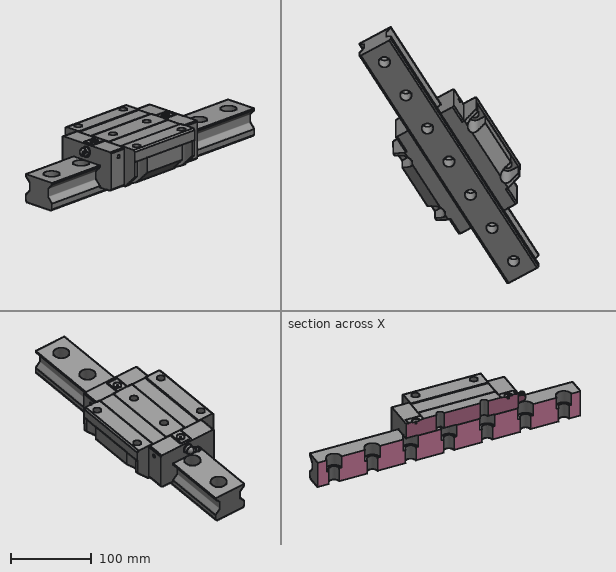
import cadquery as cq

rail_length = 360.0
rail_width = 45.0
rail_height = 37.0
rail_foot_chamfer = 2.0
neck_width = 31.5
neck_fillet = 1.5
shoulder_width = 42.5
groove_mid_z = 22.5
neck_half_height = 5.5
shoulder_half_height = neck_half_height + (shoulder_width - neck_width) / 2
groove_half_height = 12.5
rail_hole_count = 7
rail_end_margin = 22.5
rail_hole_diameter = 14.0
rail_bore_diameter = 20.0
rail_bore_depth = 17.0

carriage_y = -18.0
block_width = 120.0
block_length = 106.2
carriage_top = 60.0
carriage_bottom = 8.0
flange_bottom = 44.5
flange_chamfer = 2.0
flange_overhang = 0.5
block_bottom_width = 85.5
centre_land_width = 29.5
outer_land_gap = 70.5
top_recess_depth = 0.7
top_recess_slope = 1.0

mount_pitch_x = 100.0
mount_pitch_y = 80.0
centre_pitch_y = 60.0
mount_hole_diameter = 10.0
relief_radius = 9.0

cap_width = 83.5
cap_length = 23.8
cap_top = 59.0
cap_top_chamfer = 1.5
cap_bottom_chamfer = 2.0
pad_width = 16.5
pad_slope = 1.0
pad_top = 59.8
pad_end_gap = 3.2
port_offset = 13.5
top_port_diameter = 10.0
top_port_depth = 1.0
top_pilot_diameter = 1.8
top_pilot_depth = 4.5
side_port_diameter = 4.5
side_port_depth = 5.5

nipple_z = 50.0
washer_diameter = 12.2
washer_thickness = 0.7
collar_diameter = 10.8
collar_length = 5.5
ball_radius = 5.0
nozzle_angle = 24.0
nozzle_radius = 3.2
nozzle_neck_radius = 2.5
nozzle_neck_start = 6.5
nozzle_neck_end = 8.0
nozzle_cone_start = 10.5
nozzle_length = 13.5
nozzle_tip_radius = 1.5

cap_end_y = block_length / 2 + cap_length


def mirrored(right_side):
    """Closed XZ outline from its points on the +X side, listed from bottom to top."""
    left_side = [(-x, z) for x, z in reversed(right_side)]
    return right_side + left_side


def extrude_along_y(points, length, centre_y):
    """Extrude an XZ outline along Y, centred on centre_y."""
    start = cq.Workplane("XZ", origin=(0, centre_y, 0))
    return start.polyline(points).close().extrude(length / 2, both=True)


def drill_down(diameter, depth, x, y, top):
    """Vertical cylinder that reaches down from the given height."""
    return cq.Workplane("XY", origin=(x, y, top)).circle(diameter / 2).extrude(-depth)


def rail_bar(length):
    half_width = rail_width / 2
    outline = mirrored([
        (half_width - rail_foot_chamfer, 0),
        (half_width, rail_foot_chamfer),
        (half_width, groove_mid_z - groove_half_height),
        (shoulder_width / 2, groove_mid_z - shoulder_half_height),
        (neck_width / 2, groove_mid_z - neck_half_height),
        (neck_width / 2, groove_mid_z + neck_half_height),
        (shoulder_width / 2, groove_mid_z + shoulder_half_height),
        (half_width, groove_mid_z + groove_half_height),
        (half_width, rail_height),
    ])
    bar = extrude_along_y(outline, length, 0)
    for side in (-1, 1):
        for level in (-1, 1):
            corner = (side * neck_width / 2, 0, groove_mid_z + level * neck_half_height)
            bar = bar.edges(cq.selectors.NearestToPointSelector(corner)).fillet(neck_fillet)
    return bar


def make_rail():
    rail = rail_bar(rail_length)
    first_hole_y = rail_end_margin - rail_length / 2
    hole_pitch = -2 * first_hole_y / (rail_hole_count - 1)
    for i in range(rail_hole_count):
        hole_y = first_hole_y + i * hole_pitch
        rail = rail.cut(drill_down(rail_hole_diameter, rail_height, 0, hole_y, rail_height))
        rail = rail.cut(drill_down(rail_bore_diameter, rail_bore_depth, 0, hole_y, rail_height))
    return rail


def make_block():
    half_width = block_width / 2
    side_x = half_width - flange_overhang
    slope_rise = side_x - block_bottom_width / 2
    recess_z = carriage_top - top_recess_depth
    outline = mirrored([
        (block_bottom_width / 2, carriage_bottom),
        (side_x, carriage_bottom + slope_rise),
        (side_x, flange_bottom),
        (half_width, flange_bottom),
        (half_width, carriage_top - flange_chamfer),
        (half_width - flange_chamfer, carriage_top),
        (outer_land_gap / 2 + top_recess_slope, carriage_top),
        (outer_land_gap / 2, recess_z),
        (centre_land_width / 2, recess_z),
        (centre_land_width / 2, carriage_top),
    ])
    return extrude_along_y(outline, block_length, carriage_y)


def cut_mount_holes(body):
    """Corner holes, each with a U-shaped relief that opens outwards below the flange."""
    relief_height = flange_bottom - carriage_bottom
    for side in (-1, 1):
        hole_x = side * mount_pitch_x / 2
        for end in (-1, 1):
            hole_y = carriage_y + end * mount_pitch_y / 2
            body = body.cut(drill_down(mount_hole_diameter, carriage_top, hole_x, hole_y, carriage_top))
            relief = drill_down(2 * relief_radius, relief_height, hole_x, hole_y, flange_bottom)
            opening = cq.Workplane("XY").box(
                2 * relief_radius, 2 * relief_radius, relief_height, centered=(True, True, False)
            )
            opening = opening.translate((hole_x + side * relief_radius, hole_y, carriage_bottom))
            body = body.cut(relief).cut(opening)
    return body


def cut_centre_holes(body):
    """Two holes on the centre line, from the top face into the rail channel."""
    for end in (-1, 1):
        hole_y = carriage_y + end * centre_pitch_y / 2
        depth = carriage_top - rail_height
        body = body.cut(drill_down(mount_hole_diameter, depth, 0, hole_y, carriage_top))
    return body


def make_cap(end):
    """End cap on the +Y (end = 1) or -Y (end = -1) face of the block, with pad and ports."""
    half_width = cap_width / 2
    outline = mirrored([
        (half_width - cap_bottom_chamfer, carriage_bottom),
        (half_width, carriage_bottom + cap_bottom_chamfer),
        (half_width, cap_top - cap_top_chamfer),
        (half_width - cap_top_chamfer, cap_top),
    ])
    cap_y = carriage_y + end * (block_length + cap_length) / 2
    cap = extrude_along_y(outline, cap_length, cap_y)

    pad_outline = mirrored([
        (pad_width / 2, cap_top),
        (pad_width / 2 - pad_slope, pad_top),
    ])
    pad_y = cap_y - end * pad_end_gap / 2
    cap = cap.union(extrude_along_y(pad_outline, cap_length - pad_end_gap, pad_y))

    port_y = carriage_y + end * (cap_end_y - port_offset)
    cap = cap.cut(drill_down(top_port_diameter, top_port_depth, 0, port_y, pad_top))
    cap = cap.cut(drill_down(top_pilot_diameter, top_pilot_depth, 0, port_y, pad_top))
    for side in (-1, 1):
        face = cq.Workplane("YZ", origin=(side * half_width, port_y, nipple_z))
        cap = cap.cut(face.circle(side_port_diameter / 2).extrude(-side * side_port_depth))
    return cap


def make_carriage():
    carriage = cut_centre_holes(cut_mount_holes(make_block()))
    for end in (-1, 1):
        carriage = carriage.union(make_cap(end))
    return carriage.cut(rail_bar(rail_length))


def make_nipple():
    """Washer and round collar seated on the -Y cap face, a ball on the end and an angled nozzle."""
    face_y = carriage_y - cap_end_y
    seat = cq.Workplane("XZ", origin=(0, face_y, nipple_z))
    washer = seat.circle(washer_diameter / 2).extrude(washer_thickness)
    collar = seat.circle(collar_diameter / 2).extrude(collar_length)
    ball_y = face_y - collar_length
    ball = cq.Workplane("XY").sphere(ball_radius).translate((0, ball_y, nipple_z))
    nozzle_profile = [
        (0, 0),
        (0, nozzle_radius),
        (nozzle_neck_start, nozzle_radius),
        (nozzle_neck_start, nozzle_neck_radius),
        (nozzle_neck_end, nozzle_neck_radius),
        (nozzle_neck_end, nozzle_radius),
        (nozzle_cone_start, nozzle_radius),
        (nozzle_length, nozzle_tip_radius),
        (nozzle_length, 0),
    ]
    nozzle = (
        cq.Workplane("XY")
        .polyline(nozzle_profile)
        .close()
        .revolve(360, (0, 0, 0), (1, 0, 0))
        .rotate((0, 0, 0), (0, 0, 1), -nozzle_angle)
        .translate((0, ball_y, nipple_z))
    )
    return washer.union(collar).union(ball).union(nozzle)


rail = make_rail()
carriage = make_carriage()
nipple = make_nipple()

result = cq.Compound.makeCompound([rail.val(), carriage.val(), nipple.val()])